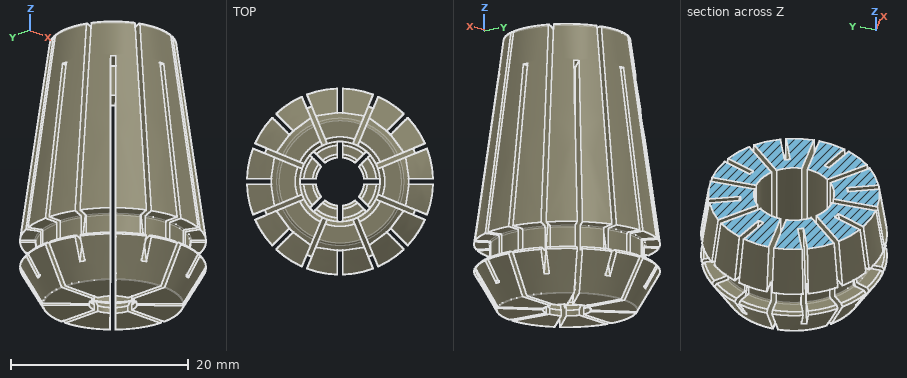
import cadquery as cq
import math

length = 31.5
max_radius = 10.5
taper_angle = 8.0
nose_angle = 30.0
top_round = 0.28
bottom_round = 0.1

groove_bottom = 4.8
groove_top = 7.62
groove_radius = 8.7
groove_round = 0.15
rim_chamfer = 0.3

bore_radius = 4.5
mouth_radius = 5.05
floor_height = 1.32
floor_radius = 4.1
hole_radius = 2.7
hole_mouth_radius = 3.1
inner_chamfer_angle = 30.0

slot_count = 8
slot_width = 0.6
slot_overrun = 0.3
lower_slot_top = 27.03
upper_slot_bottom = 2.0
upper_slot_floor_angle = 14.5


def radial_run(height, angle):
    """Radius change of a cone of given height and half angle."""
    return height * math.tan(math.radians(angle))


def cone_height(run, angle):
    """Height of a cone with given radius change and half angle."""
    return run / math.tan(math.radians(angle))


rim_height = groove_bottom - rim_chamfer
bottom_radius = max_radius - radial_run(rim_height, nose_angle)
top_radius = max_radius - radial_run(length - groove_top, taper_angle)


def outer_body():
    """Solid of revolution bounded by the two cones and the groove."""
    profile = [
        (0, 0),
        (bottom_radius, 0),
        (max_radius, rim_height),
        (max_radius - rim_chamfer, groove_bottom),
        (groove_radius, groove_bottom),
        (groove_radius, groove_top),
        (max_radius, groove_top),
        (top_radius, length),
        (0, length),
    ]
    body = cq.Workplane("XZ").polyline(profile).close().revolve(360, (0, 0), (0, 1))
    body = body.faces(">Z").edges().fillet(top_round)
    body = body.faces("<Z").edges().fillet(bottom_round)
    return body.faces("%CYLINDER").edges("%CIRCLE").fillet(groove_round)


def bore():
    """Stepped bore with conical lead-ins at the mouth, the floor and the small hole."""
    mouth_depth = cone_height(mouth_radius - bore_radius, inner_chamfer_angle)
    corner_height = cone_height(bore_radius - floor_radius, inner_chamfer_angle)
    hole_mouth_depth = cone_height(hole_mouth_radius - hole_radius, inner_chamfer_angle)
    profile = [
        (0, 0),
        (hole_radius, 0),
        (hole_radius, floor_height - hole_mouth_depth),
        (hole_mouth_radius, floor_height),
        (floor_radius, floor_height),
        (bore_radius, floor_height + corner_height),
        (bore_radius, length - mouth_depth),
        (mouth_radius, length),
        (0, length),
    ]
    return cq.Workplane("XZ").polyline(profile).close().revolve(360, (0, 0), (0, 1))


def slot_ring(side_profile, start_angle):
    """Ring of radial slots; the side profile lists radius and height."""
    blade = cq.Workplane("XZ").polyline(side_profile).close().extrude(slot_width / 2, both=True)
    slots = blade.rotate((0, 0, 0), (0, 0, 1), start_angle)
    pitch = 360 / slot_count
    for i in range(1, slot_count):
        slots = slots.union(blade.rotate((0, 0, 0), (0, 0, 1), start_angle + i * pitch))
    return slots


def lower_slots():
    """Slots open at the bottom, with a level upper end."""
    profile = [
        (0, 0),
        (max_radius + slot_overrun, 0),
        (max_radius + slot_overrun, lower_slot_top),
        (0, lower_slot_top),
    ]
    return slot_ring(profile, 0)


def upper_slots():
    """Slots open at the top, with a floor that rises steeply from the lower cone to the bore."""
    foot_radius = bottom_radius + radial_run(upper_slot_bottom, nose_angle)
    radius_at_base = foot_radius + radial_run(upper_slot_bottom, upper_slot_floor_angle)
    radius_at_top = radius_at_base - radial_run(length, upper_slot_floor_angle)
    profile = [
        (radius_at_top, length),
        (radius_at_base, 0),
        (max_radius + slot_overrun, 0),
        (max_radius + slot_overrun, length),
    ]
    return slot_ring(profile, 180 / slot_count)


collet = outer_body().cut(bore())
collet = collet.cut(lower_slots())
result = collet.cut(upper_slots())